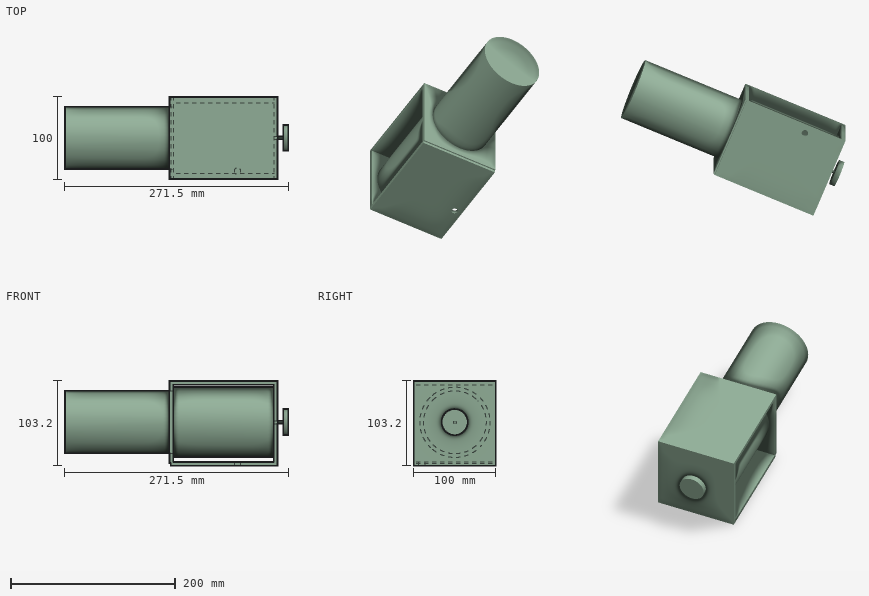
import cadquery as cq

TOTAL_LENGTH = 271.5

HOUSING_LEFT = 126.8
HOUSING_LENGTH = 131.7
HOUSING_DEPTH = 100.0
HOUSING_HEIGHT = 103.2
WALL = 5.0
STEP_INSET = 1.5
STEP_HEIGHT = 3.3
FLOOR_HOLE_DIAMETER = 8.0
FLOOR_HOLE_FROM_LEFT = 82.5
FLOOR_HOLE_FROM_FRONT = 9.8

BARREL_DIAMETER = 76.3
DRUM_DIAMETER = 85.5
STEM_DIAMETER = 3.5
KNOB_DIAMETER = 31.8
KNOB_LENGTH = 6.5

HOUSING_RIGHT = HOUSING_LEFT + HOUSING_LENGTH
DRUM_LEFT = HOUSING_LEFT + WALL
DRUM_RIGHT = HOUSING_RIGHT - WALL
KNOB_LEFT = TOTAL_LENGTH - KNOB_LENGTH
FRONT_Y = -HOUSING_DEPTH / 2
AXIS_Z = HOUSING_HEIGHT - HOUSING_DEPTH / 2


def cylinder_along_x(diameter, start, end):
    """Cylinder on the roller axis between two X positions."""
    return (
        cq.Workplane("YZ", origin=(start, 0, AXIS_Z))
        .circle(diameter / 2)
        .extrude(end - start)
    )


def block(start_x, start_z, length, height):
    """Block as deep as the housing, placed by its lower left edge."""
    return (
        cq.Workplane("XY", origin=(start_x, 0, start_z))
        .box(length, HOUSING_DEPTH, height, centered=(False, True, False))
    )


def make_housing():
    outer = block(HOUSING_LEFT, 0, HOUSING_LENGTH, HOUSING_HEIGHT)
    opening = block(DRUM_LEFT, WALL, HOUSING_LENGTH - 2 * WALL, HOUSING_HEIGHT - 2 * WALL)
    step = block(HOUSING_LEFT, 0, STEP_INSET, STEP_HEIGHT)
    barrel_hole = cylinder_along_x(BARREL_DIAMETER, HOUSING_LEFT, DRUM_LEFT)
    stem_hole = cylinder_along_x(STEM_DIAMETER, DRUM_RIGHT, HOUSING_RIGHT)
    floor_hole = (
        cq.Workplane("XY")
        .center(HOUSING_LEFT + FLOOR_HOLE_FROM_LEFT, FRONT_Y + FLOOR_HOLE_FROM_FRONT)
        .circle(FLOOR_HOLE_DIAMETER / 2)
        .extrude(WALL)
    )
    return outer.cut(opening).cut(step).cut(barrel_hole).cut(stem_hole).cut(floor_hole)


def make_roller():
    barrel = cylinder_along_x(BARREL_DIAMETER, 0, DRUM_LEFT)
    drum = cylinder_along_x(DRUM_DIAMETER, DRUM_LEFT, DRUM_RIGHT)
    stem = cylinder_along_x(STEM_DIAMETER, DRUM_RIGHT, KNOB_LEFT)
    knob = cylinder_along_x(KNOB_DIAMETER, KNOB_LEFT, TOTAL_LENGTH)
    return barrel.union(drum).union(stem).union(knob)


housing = make_housing()
roller = make_roller()
result = cq.Compound.makeCompound([housing.val(), roller.val()])